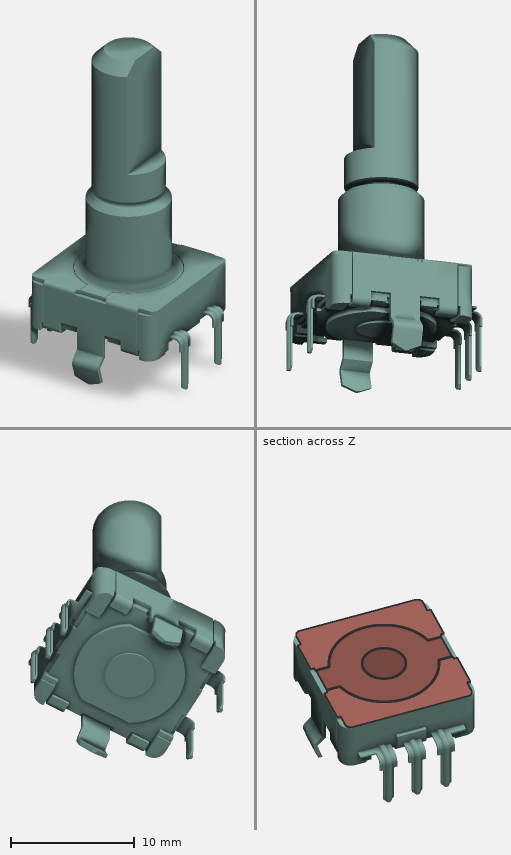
import cadquery as cq
import math


diagonal = math.sqrt(0.5)

body_x = 12.0
body_y = 11.68
corner_radius = 1.0
sheet = 0.35
plate_corner_radius = 0.5
wall_y = body_y / 2 - sheet

split_depth = 1.7
recess_depth = 3.93
floor_depth = 4.35
post_depth = 4.52
leg_depth = 8.08

flange_x = 8.98
side_gap = 0.08
bend_notch_x = 2.98
window_x = 5.9
window_depth = 3.25
tab_reach = 1.07
tab_inner_radius = 0.17

leg_width = 2.5
leg_bend_depth = 5.28
leg_out_angle = math.radians(46)
leg_in_angle = math.radians(18)
leg_out_length = 1.12
leg_bend_round = 0.1
leg_elbow_round = 0.62
leg_taper = 0.53
leg_tip_round = 0.28

bushing_diameter = 7.0
bushing_height = 7.0
bushing_chamfer = 0.5
bushing_bore = 3.6
foot_fillet = 0.5
disc_diameter = 8.87
disc_gap = 0.05
tongue_width = leg_width - 2 * disc_gap
tongue_end = wall_y - disc_gap

shaft_diameter = 6.0
shaft_top = 20.0
shaft_bottom = 7.52
shaft_tip_diameter = 4.0
shaft_tip_chamfer = (shaft_diameter - shaft_tip_diameter) / 2
neck_diameter = 3.5
flat_offset = 1.5
flat_bottom = 10.05

post_x = 1.25
post_y = 2.0
post_shoulder_y = 0.45
boss_diameter = 4.0
pedestal_diameter = 8.98
pedestal_y = 7.85
leg_pocket_x = 2.98
leg_pocket_depth = 3.55
tab_pocket_start = 2.84
tab_pocket_depth = 3.73
pin_pocket_start = 1.35
pin_pocket_depth = 3.68
key_width = 2.5
key_thickness = 0.3
key_top_depth = 2.3
key_bottom_depth = 3.6

pitch = 2.5
left_reach = 7.72
right_reach = 7.25
root_length = 0.28
terminal_top_depth = 3.17
terminal_sheet = 0.17
terminal_bend = 0.6
shoulder_width = 1.5
pin_width = 0.9
pin_taper_depth = 7.7
pin_depth = 7.97
pin_tip_width = 0.28
ridge_width = 0.6
ridge_height = 0.17
wing_end = 4.58
wing_length = 0.6


def block(x_size, y_size, top_depth, bottom_depth, x=0, y=0):
    """Box centred at (x, y) that spans the two depths."""
    height = bottom_depth - top_depth
    return cq.Workplane("XY", origin=(x, y, -bottom_depth)).box(
        x_size, y_size, height, centered=(True, True, False)
    )


def body_slice(top_depth, bottom_depth):
    """Slice of the rounded body, relieved front and back for the flanges."""
    piece = block(body_x, body_y, top_depth, bottom_depth).edges("|Z").fillet(corner_radius)
    for side in (-1, 1):
        relief_y = side * (wall_y + sheet / 2)
        relief_x = flange_x + 2 * side_gap
        piece = piece.cut(block(relief_x, sheet, top_depth, bottom_depth, y=relief_y))
    return piece


def extrude_x(sketch, width, x=0):
    """Extrude a closed YZ sketch over the given width, centred on x."""
    return sketch.extrude(width / 2, both=True).translate((x, 0, 0))


def inner_miter(point, normal_a, normal_b):
    """Point one sheet thickness inside a bend whose two outer normals are given."""
    scale = sheet / (1 + normal_a[0] * normal_b[0] + normal_a[1] * normal_b[1])
    return (
        point[0] - scale * (normal_a[0] + normal_b[0]),
        point[1] - scale * (normal_a[1] + normal_b[1]),
    )


def make_leg():
    """Snap-in leg on the +Y side: bent outwards, then inwards to a pointed tip."""
    sin_out, cos_out = math.sin(leg_out_angle), math.cos(leg_out_angle)
    sin_in, cos_in = math.sin(leg_in_angle), math.cos(leg_in_angle)
    down_normal, out_normal, in_normal = (1, 0), (cos_out, sin_out), (cos_in, -sin_in)

    bend = (body_y / 2, -leg_bend_depth)
    elbow = (bend[0] + leg_out_length * sin_out, bend[1] - leg_out_length * cos_out)
    in_drop = leg_depth + elbow[1]
    tip = (elbow[0] - in_drop * math.tan(leg_in_angle), -leg_depth)
    outer = [(body_y / 2, -window_depth), bend, elbow, tip]
    inner = [
        (tip[0] - sheet * in_normal[0], tip[1] - sheet * in_normal[1]),
        inner_miter(elbow, out_normal, in_normal),
        inner_miter(bend, down_normal, out_normal),
        (wall_y, -window_depth),
    ]
    leg = extrude_x(cq.Workplane("YZ").polyline(outer + inner).close(), leg_width)
    leg = leg.edges(cq.selectors.NearestToPointSelector((0, *elbow))).fillet(leg_elbow_round)
    leg = leg.edges(cq.selectors.NearestToPointSelector((0, *bend))).fillet(leg_bend_round)

    half = leg_width / 2
    outline = (
        cq.Workplane("XZ")
        .moveTo(-half, -window_depth)
        .lineTo(half, -window_depth)
        .lineTo(half, leg_taper - leg_depth)
        .lineTo(0, -leg_depth)
        .lineTo(-half, leg_taper - leg_depth)
        .close()
        .extrude(-body_y)
    )
    outline = outline.edges("|Y").edges("<Z").fillet(leg_tip_round)
    return leg.intersect(outline)


def make_crimp_tab(x):
    """Tab on the +Y side that curls inwards under the base."""
    outer_y = body_y / 2
    outer_radius = tab_inner_radius + sheet
    bend_y = outer_y - outer_radius
    bottom = -recess_depth - outer_radius
    sketch = (
        cq.Workplane("YZ")
        .moveTo(outer_y, -recess_depth)
        .threePointArc(
            (bend_y + outer_radius * diagonal, -recess_depth - outer_radius * diagonal),
            (bend_y, bottom),
        )
        .lineTo(outer_y - tab_reach, bottom)
        .lineTo(outer_y - tab_reach, bottom + sheet)
        .lineTo(bend_y, bottom + sheet)
        .threePointArc(
            (bend_y + tab_inner_radius * diagonal, -recess_depth - tab_inner_radius * diagonal),
            (wall_y, -recess_depth),
        )
        .close()
    )
    return extrude_x(sketch, (flange_x - window_x) / 2, x)


def make_flange():
    """Flange on the +Y side with its bend, window, leg and crimp tabs."""
    mid_y = wall_y + sheet / 2
    bend_middle = sheet * diagonal
    sketch = (
        cq.Workplane("YZ")
        .moveTo(wall_y, 0)
        .threePointArc((wall_y + bend_middle, bend_middle - sheet), (body_y / 2, -sheet))
        .lineTo(body_y / 2, -recess_depth)
        .lineTo(wall_y, -recess_depth)
        .close()
    )
    flange = extrude_x(sketch, flange_x)
    flange = flange.cut(block(bend_notch_x, sheet, 0, sheet, y=mid_y))
    flange = flange.cut(block(window_x, sheet, window_depth, recess_depth, y=mid_y))
    flange = flange.union(make_leg())
    tab_x = (flange_x + window_x) / 4
    for x in (-tab_x, tab_x):
        flange = flange.union(make_crimp_tab(x))
    return flange


def make_cover():
    """Cover: top plate, upper housing and the two flanges."""
    plate = block(body_x, 2 * wall_y, 0, sheet).edges("|Z").fillet(plate_corner_radius)
    opening = cq.Workplane("XY").circle(disc_diameter / 2 + disc_gap).extrude(-sheet)
    opening = opening.union(block(leg_width, body_y, 0, sheet))
    flange = make_flange()
    cover = plate.cut(opening).union(body_slice(sheet, split_depth))
    return cover.union(flange).union(flange.mirror("XZ"))


def make_bushing():
    """Bored bushing on a disc with two tongues, set into the cover plate."""
    bore, barrel, rim = bushing_bore / 2, bushing_diameter / 2, disc_diameter / 2
    arc_inset = foot_fillet * (1 - diagonal)
    profile = (
        cq.Workplane("XZ")
        .moveTo(bore, -sheet)
        .lineTo(rim, -sheet)
        .lineTo(rim, 0)
        .lineTo(barrel + foot_fillet, 0)
        .threePointArc((barrel + arc_inset, arc_inset), (barrel, foot_fillet))
        .lineTo(barrel, bushing_height - bushing_chamfer)
        .lineTo(barrel - bushing_chamfer, bushing_height)
        .lineTo(bore, bushing_height)
        .close()
    )
    bushing = profile.revolve(360, (0, 0, 0), (0, 1, 0))
    tongues = block(tongue_width, 2 * tongue_end, 0, sheet)
    middle = cq.Workplane("XY").circle(barrel).extrude(-sheet)
    return bushing.union(tongues.cut(middle))


def make_shaft():
    """Shaft with a chamfered tip, a flat on its +X side and a neck inside the bushing."""
    shaft = cq.Workplane("XY", origin=(0, 0, shaft_bottom))
    shaft = shaft.circle(shaft_diameter / 2).extrude(shaft_top - shaft_bottom)
    shaft = shaft.faces(">Z").edges().chamfer(shaft_tip_chamfer)
    cut_x = shaft_diameter / 2 - flat_offset
    shaft = shaft.cut(block(cut_x, shaft_diameter, -shaft_top, -flat_bottom, x=flat_offset + cut_x / 2))
    neck = cq.Workplane("XY", origin=(0, 0, -sheet)).circle(neck_diameter / 2).extrude(shaft_bottom + sheet)
    return shaft.union(neck)


def make_post(x_side, y_side):
    """Corner post of the base, with a shallower shoulder beside it."""
    envelope = body_slice(recess_depth, post_depth)
    x = x_side * (body_x - post_x) / 2
    post = block(post_x, post_y, recess_depth, post_depth, x, y_side * (body_y - post_y) / 2)
    shoulder_y = body_y / 2 - post_y - post_shoulder_y / 2
    shoulder = block(post_x, post_shoulder_y, recess_depth, floor_depth, x, y_side * shoulder_y)
    return post.intersect(envelope).union(shoulder)


def make_pedestal():
    """Round pedestal with two flats under the base, and a boss in its middle."""
    pedestal = cq.Workplane("XY", origin=(0, 0, -floor_depth)).circle(pedestal_diameter / 2)
    pedestal = pedestal.extrude(floor_depth - recess_depth)
    pedestal = pedestal.intersect(block(body_x, pedestal_y, recess_depth, floor_depth))
    boss = cq.Workplane("XY", origin=(0, 0, -post_depth)).circle(boss_diameter / 2)
    return pedestal.union(boss.extrude(post_depth - floor_depth))


def make_pockets():
    """Shallow clearances in the lower edge of the base for the legs, crimp tabs and terminals."""
    pockets = []
    pin_pocket_y = body_y / 2 - post_y - post_shoulder_y - pin_pocket_start
    tab_pocket_x = body_x / 2 - post_x - tab_pocket_start
    for side in (-1, 1):
        front_y = side * (wall_y - sheet / 2)
        pockets.append(block(leg_pocket_x, sheet, leg_pocket_depth, recess_depth, y=front_y))
        for end in (-1, 1):
            tab_x = end * (tab_pocket_start + tab_pocket_x / 2)
            tab_y = side * (body_y - tab_reach) / 2
            pockets.append(block(tab_pocket_x, tab_reach, tab_pocket_depth, recess_depth, tab_x, tab_y))
            pin_x = side * (body_x - sheet) / 2
            pin_y = end * (pin_pocket_start + pin_pocket_y / 2)
            pockets.append(block(sheet, pin_pocket_y, pin_pocket_depth, recess_depth, pin_x, pin_y))
    return pockets


def make_base(terminals):
    """Base with corner posts, pedestal, key on its -X wall and a slot for each terminal."""
    base = body_slice(split_depth, recess_depth).union(make_pedestal())
    for x_side in (-1, 1):
        for y_side in (-1, 1):
            base = base.union(make_post(x_side, y_side))
    for pocket in make_pockets():
        base = base.cut(pocket)
    key_x = -(body_x + key_thickness) / 2
    base = base.union(block(key_thickness, key_width, key_top_depth, key_bottom_depth, x=key_x))
    for terminal in terminals:
        base = base.cut(terminal)
    return base


def make_terminal(y, reach, side, wing_side=0):
    """Bent terminal at y on the given X side, rooted in the base, with an optional wing."""
    root = body_x / 2 - root_length
    outer = reach - ridge_height
    inner_bend = terminal_bend - terminal_sheet
    bend_x = outer - terminal_bend
    top = -terminal_top_depth
    bend_z = top - terminal_bend
    outer_mid = (bend_x + terminal_bend * diagonal, bend_z + terminal_bend * diagonal)
    inner_mid = (bend_x + inner_bend * diagonal, bend_z + inner_bend * diagonal)

    strip = (
        cq.Workplane("XZ")
        .moveTo(root, top)
        .lineTo(bend_x, top)
        .threePointArc(outer_mid, (outer, bend_z))
        .lineTo(outer, -pin_depth)
        .lineTo(outer - terminal_sheet, -pin_depth)
        .lineTo(outer - terminal_sheet, bend_z)
        .threePointArc(inner_mid, (bend_x, top - terminal_sheet))
        .lineTo(root, top - terminal_sheet)
        .close()
        .extrude(shoulder_width / 2, both=True)
    )
    ridge_path = (
        cq.Workplane("XZ")
        .moveTo(root, top)
        .lineTo(bend_x, top)
        .threePointArc(outer_mid, (outer, bend_z))
        .lineTo(outer, -pin_depth)
    )
    ridge = (
        cq.Workplane("YZ", origin=(root, 0, top))
        .moveTo(-ridge_width / 2, 0)
        .threePointArc((0, ridge_height), (ridge_width / 2, 0))
        .close()
        .sweep(ridge_path)
    )
    half_outline = [
        (shoulder_width / 2, ridge_height - terminal_top_depth),
        (shoulder_width / 2, -floor_depth),
        (pin_width / 2, -floor_depth),
        (pin_width / 2, -pin_taper_depth),
        (pin_tip_width / 2, -pin_depth),
    ]
    outline = half_outline + [(-across, z) for across, z in reversed(half_outline)]
    outline = cq.Workplane("YZ").polyline(outline).close().extrude(reach)
    terminal = strip.union(ridge).intersect(outline).translate((0, y, 0))

    if wing_side:
        wing_width = wing_end - abs(y)
        wing_y = wing_side * (abs(y) + wing_width / 2)
        wing_x = (body_x + wing_length) / 2
        wing_bottom = terminal_top_depth + terminal_sheet
        wing = block(wing_length, wing_width, terminal_top_depth, wing_bottom, wing_x, wing_y)
        terminal = terminal.union(wing)
    return terminal if side > 0 else terminal.mirror("YZ")


terminals = [make_terminal(0, left_reach, -1)]
for row in (-1, 1):
    terminals.append(make_terminal(row * pitch, left_reach, -1, wing_side=row))
    terminals.append(make_terminal(row * pitch, right_reach, 1))
base = make_base(terminals)
cover = make_cover()
bushing = make_bushing()
shaft = make_shaft()

result = cq.Compound.makeCompound(
    [cover.val(), bushing.val(), shaft.val(), base.val(), *[terminal.val() for terminal in terminals]]
)